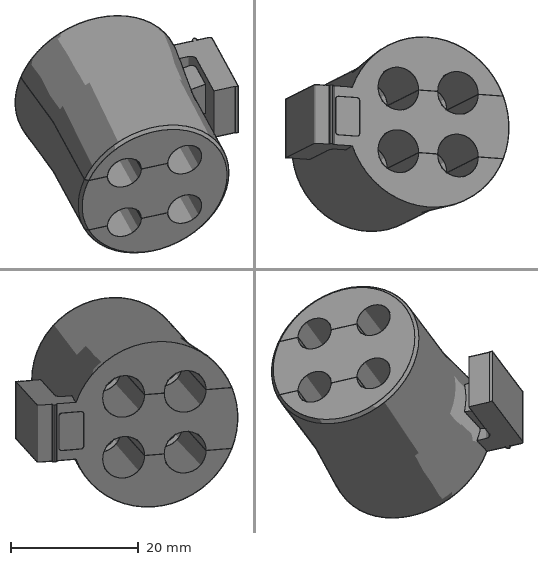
import cadquery as cq
import math


body_length = 27.78
flange_diameter = 27.13
flange_radius = flange_diameter / 2
flange_thickness = 0.85
barrel_radius = 12.5
taper_end_x = 12.18
barrel_chamfer = 0.5

hole_pitch = 10.0
hole_front_diameter = 6.8
hole_back_diameter = 5.6
front_bore_depth = body_length / 2
shoulder_angle = 30
slit_width = 0.03

arm_width = 9.38
overall_width = 32.57
arm_top_y = overall_width - flange_radius
arm_underside_y = 14.98
arm_length = 12.83
arm_root_y = 9.77
post_thickness = 3.45
post_inner_fillet = 0.98
arm_edge_fillet = 0.5
lip_overhang = 0.1
lip_height = 0.5

web_end_x = 8.8
web_top_half_width = 2.93
web_draft_angle = 10

ridge_height = 0.62
ridge_shoulder = 0.3
ridge_top_y = 16.6
ridge_bottom_y = 15.93
ridge_apex_y = 16.32

label_center_y = 13.5
label_size_y = 4.05
label_size_z = 6.15
label_depth = 0.1
label_corner_radius = 0.5


def make_body():
    """Flanged plug with a tapered neck and a chamfered barrel."""
    half_profile = (
        cq.Workplane("XZ")
        .moveTo(0, 0)
        .lineTo(0, flange_radius)
        .lineTo(flange_thickness, flange_radius)
        .lineTo(taper_end_x, barrel_radius)
        .lineTo(body_length - barrel_chamfer, barrel_radius)
        .lineTo(body_length, barrel_radius - barrel_chamfer)
        .lineTo(body_length, 0)
        .close()
    )
    return half_profile.revolve(360, (0, 0, 0), (1, 0, 0))


def make_arm():
    """Hook profile extruded symmetrically across Z."""
    return (
        cq.Workplane("XY")
        .moveTo(0, arm_root_y)
        .lineTo(0, arm_top_y - arm_edge_fillet)
        .radiusArc((arm_edge_fillet, arm_top_y), arm_edge_fillet)
        .lineTo(arm_length + lip_overhang, arm_top_y)
        .lineTo(arm_length + lip_overhang, arm_top_y - lip_height)
        .lineTo(arm_length, arm_top_y - lip_height)
        .lineTo(arm_length, arm_underside_y)
        .lineTo(post_thickness + post_inner_fillet, arm_underside_y)
        .radiusArc((post_thickness, arm_underside_y - post_inner_fillet), -post_inner_fillet)
        .lineTo(post_thickness, arm_root_y)
        .close()
        .extrude(arm_width / 2, both=True)
    )


def make_web():
    """Web joining the arm to the plug, with drafted sides that narrow toward the plug."""
    web_height = arm_underside_y - arm_root_y
    root_half_width = web_top_half_width - web_height * math.tan(math.radians(web_draft_angle))
    return (
        cq.Workplane("YZ", origin=(post_thickness, 0, 0))
        .moveTo(arm_root_y, -root_half_width)
        .lineTo(arm_underside_y, -web_top_half_width)
        .lineTo(arm_underside_y, web_top_half_width)
        .lineTo(arm_root_y, root_half_width)
        .close()
        .extrude(web_end_x - post_thickness)
    )


def make_ridge():
    """Pointed ridge running the full width of the arm."""
    return (
        cq.Workplane("XY")
        .moveTo(0, ridge_bottom_y)
        .lineTo(-ridge_shoulder, ridge_bottom_y)
        .lineTo(-ridge_height, ridge_apex_y)
        .lineTo(-ridge_shoulder, ridge_top_y)
        .lineTo(0, ridge_top_y)
        .close()
        .extrude(arm_width / 2, both=True)
    )


def make_hole(y, z):
    """Through hole with a wide front bore that steps down over a shallow conical shoulder."""
    front_radius = hole_front_diameter / 2
    back_radius = hole_back_diameter / 2
    shoulder_length = (front_radius - back_radius) * math.tan(math.radians(shoulder_angle))
    half_profile = (
        cq.Workplane("XZ")
        .moveTo(0, 0)
        .lineTo(0, front_radius)
        .lineTo(front_bore_depth, front_radius)
        .lineTo(front_bore_depth + shoulder_length, back_radius)
        .lineTo(body_length, back_radius)
        .lineTo(body_length, 0)
        .close()
    )
    return half_profile.revolve(360, (0, 0, 0), (1, 0, 0)).translate((0, y, z))


def make_slit(z):
    """Thin cut joining the two holes of a row and opening on the -Y side."""
    slit_length = hole_pitch / 2 + flange_radius
    slit = cq.Workplane("XY").box(body_length, slit_length, slit_width, centered=(False, False, True))
    return slit.translate((0, -flange_radius, z))


def make_label_recess():
    """Rounded rectangular pocket on the front face."""
    return (
        cq.Workplane("YZ", origin=(0, label_center_y, 0))
        .rect(label_size_y, label_size_z)
        .extrude(label_depth)
        .edges("|X")
        .fillet(label_corner_radius)
    )


result = make_body().union(make_arm()).union(make_web()).union(make_ridge())

for row_z in (-hole_pitch / 2, hole_pitch / 2):
    for column_y in (-hole_pitch / 2, hole_pitch / 2):
        result = result.cut(make_hole(column_y, row_z))
    result = result.cut(make_slit(row_z))

result = result.cut(make_label_recess())